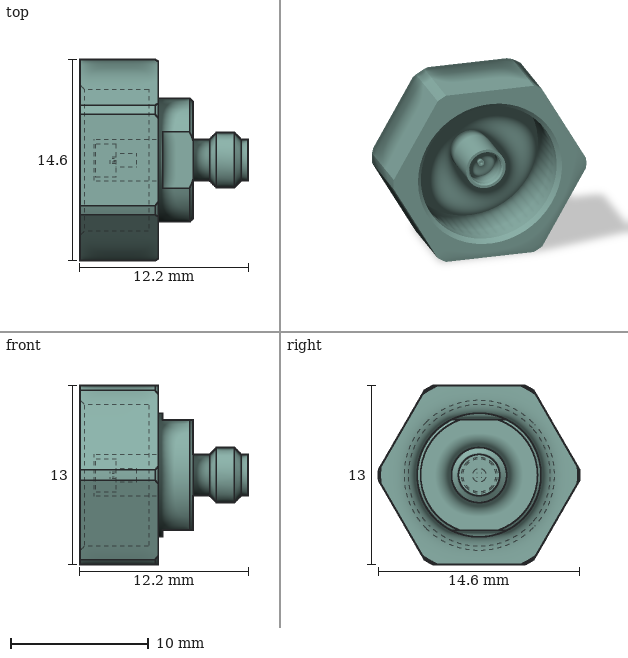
import cadquery as cq
import math

nut_corner_diameter = 14.6
nut_across_flats = 13.0
nut_length = 5.7
nut_end_bevel_length = 0.25
nut_end_bevel_angle = 30.0
nut_bore_diameter = 10.3
nut_bore_chamfer = 0.3
nut_bore_depth = 5.0

sleeve_diameter = 3.0
sleeve_start = 1.01
sleeve_bore_diameter = 2.4
sleeve_bore_chamfer = 0.1
sleeve_bore_depth = 1.6
bore_floor = sleeve_start + sleeve_bore_depth
shoulder_diameter = 8.98
shoulder_end = 8.2
shoulder_chamfer = 0.25
wrench_flat_distance = 8.0
wrench_flat_start = 6.0
barb_diameter = 4.0
barb_start = 9.4
barb_cone_length = 0.5
barb_end = 11.7
part_length = 12.2

contact_diameter = 1.0
contact_depth = 1.46
contact_end = bore_floor + contact_depth
socket_diameter = 0.45
socket_length = 0.44
socket_hole_diameter = 0.25
socket_hole_depth = 0.29
socket_hole_tip_angle = 120.0


def turned(points):
    """Solid of revolution about the X axis; points are (x, radius)."""
    return cq.Workplane("XY").polyline(points).close().revolve(360, (0, 0, 0), (1, 0, 0))


def make_nut():
    """Hexagon with flats facing +Z and -Z, its corners rounded by a turned blank."""
    corner_radius = nut_corner_diameter / 2
    bevel_height = nut_end_bevel_length * math.tan(math.radians(nut_end_bevel_angle))
    bore_radius = nut_bore_diameter / 2
    passage_radius = sleeve_diameter / 2
    turned_blank = turned([
        (0, bore_radius + nut_bore_chamfer),
        (0, corner_radius),
        (nut_length - nut_end_bevel_length, corner_radius),
        (nut_length, corner_radius - bevel_height),
        (nut_length, passage_radius),
        (nut_bore_depth, passage_radius),
        (nut_bore_depth, bore_radius),
        (nut_bore_chamfer, bore_radius),
    ])
    hexagon = (
        cq.Workplane("YZ")
        .transformed(rotate=(0, 0, 90))
        .polygon(6, nut_across_flats, circumscribed=True)
        .extrude(nut_length)
    )
    return hexagon.intersect(turned_blank)


def cut_wrench_flats(body):
    """Cut two flats on the shoulder, facing +Z and -Z."""
    flat_length = shoulder_end - wrench_flat_start
    flat_depth = (shoulder_diameter - wrench_flat_distance) / 2
    flat_middle_x = wrench_flat_start + flat_length / 2
    flat_middle_z = (wrench_flat_distance + flat_depth) / 2
    flat_cutter = cq.Workplane("XY").box(flat_length, shoulder_diameter, flat_depth)
    for side in (1, -1):
        body = body.cut(flat_cutter.translate((flat_middle_x, 0, side * flat_middle_z)))
    return body


def make_body():
    """Turned body with a bored sleeve, a recess for the contact, and wrench flats."""
    sleeve_radius = sleeve_diameter / 2
    shoulder_radius = shoulder_diameter / 2
    barb_radius = barb_diameter / 2
    bore_radius = sleeve_bore_diameter / 2
    contact_radius = contact_diameter / 2
    body = turned([
        (contact_end, 0),
        (contact_end, contact_radius),
        (bore_floor, contact_radius),
        (bore_floor, bore_radius),
        (sleeve_start + sleeve_bore_chamfer, bore_radius),
        (sleeve_start, bore_radius + sleeve_bore_chamfer),
        (sleeve_start, sleeve_radius),
        (nut_length, sleeve_radius),
        (nut_length, shoulder_radius),
        (shoulder_end - shoulder_chamfer, shoulder_radius),
        (shoulder_end, shoulder_radius - shoulder_chamfer),
        (shoulder_end, sleeve_radius),
        (barb_start, sleeve_radius),
        (barb_start + barb_cone_length, barb_radius),
        (barb_end - barb_cone_length, barb_radius),
        (barb_end, sleeve_radius),
        (part_length, sleeve_radius),
        (part_length, 0),
    ])
    return cut_wrench_flats(body)


def make_contact():
    """Turned contact with a cone-bottomed hole in its socket."""
    contact_radius = contact_diameter / 2
    socket_start = bore_floor - socket_length
    socket_radius = socket_diameter / 2
    hole_radius = socket_hole_diameter / 2
    hole_end = socket_start + socket_hole_depth
    tip_length = hole_radius / math.tan(math.radians(socket_hole_tip_angle / 2))
    return turned([
        (hole_end + tip_length, 0),
        (hole_end, hole_radius),
        (socket_start, hole_radius),
        (socket_start, socket_radius),
        (bore_floor, socket_radius),
        (bore_floor, contact_radius),
        (contact_end, contact_radius),
        (contact_end, 0),
    ])


nut = make_nut()
body = make_body()
contact = make_contact()
result = cq.Compound.makeCompound([nut.val(), body.val(), contact.val()])